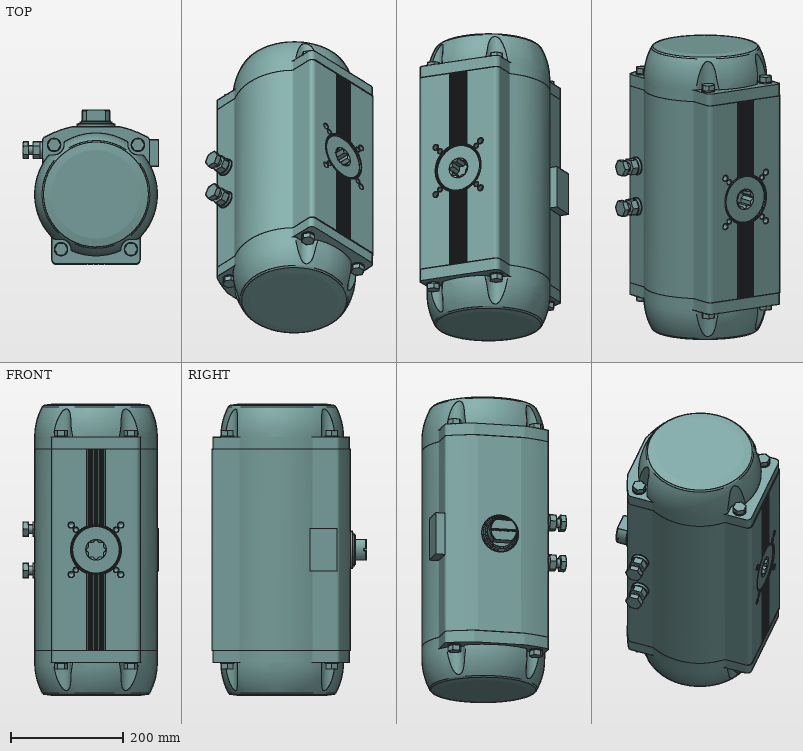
import cadquery as cq
import math

TOTAL_LENGTH = 519.5
HOUSING_LENGTH = 359.5
CAP_PLATE_THICKNESS = 21.5
BARREL_RADIUS = 109.5

TOP_BLOCK_HALF_WIDTH = 95.0
TOP_ARC_RADIUS = 192.0
TOP_ARC_CENTRE_Y = -66.5
TOP_FLAT_Y = 121.5
FOOT_HALF_WIDTH = 79.0
FRONT_Y = -125.0
CAP_STEP = 1.5
TOP_CORNER_FILLET = 6.0
FOOT_CORNER_FILLET = 9.0
HOLLOW_CORNER_FILLET = 4.5

GROOVE_COUNT = 9
GROOVE_PITCH = 3.9
GROOVE_WIDTH = 2.0
GROOVE_DEPTH = 1.5

RECESS_DIAMETER = 91.0
RECESS_DEPTH = 5.0
RECESS_CHAMFER = 1.0
MOUNT_LARGE_OFFSET = 44.0
MOUNT_LARGE_DIAMETERS = (10.0, 11.5)
MOUNT_SMALL_OFFSET = 36.0
MOUNT_SMALL_DIAMETERS = (8.5, 10.0)
MOUNT_HOLE_DEPTH = 13.0
DRILL_POINT_ANGLE = 118.0

PORT_BLOCK_FACE_X = 111.5
PORT_BLOCK_LOW_Y = 50.0
PORT_BLOCK_HIGH_Y = 97.5
PORT_BLOCK_HEIGHT = 76.0

DOME_FLAT_RADIUS = 79.0
DOME_CROWN_RADIUS = 93.5
DOME_CROWN_DROP = 2.0
DOME_SHOULDER_RADIUS = 96.0
DOME_SHOULDER_DROP = 4.5
SCALLOP_RADIUS = 17.5
SCALLOP_EDGE_FILLET = 5.0

HEX_BEVEL_ANGLE = 15.0

CAP_BOLT_PLACES = [(-75.0, 88.5), (75.0, 88.5), (-62.5, -97.5), (62.5, -97.5)]
CAP_BOLT_DIAMETER = 24.0
CAP_BOLT_TOP_DIAMETER = 22.5
CAP_BOLT_FLANGE_HEIGHT = 2.0
CAP_BOLT_HEIGHT = 11.5

SHAFT_DIAMETER = 50.0
SHAFT_END_Y = 150.5
SHAFT_FLATS_WIDTH = 37.0
SHAFT_END_CHAMFER = 1.5
SHAFT_SLOT_WIDTH = 3.0
SHAFT_SLOT_DEPTH = 4.5
COLLAR_STEPS = [(67.0, 3.5), (62.5, 1.5), (57.0, 2.0), (52.0, 2.0)]
DISC_DIAMETER = 86.0
DISC_CHAMFER = 1.5
DISC_SINK = 1.5
SOCKET_SQUARE = 26.0
SOCKET_DEPTH = 31.0
SOCKET_MOUTH_DIAMETER = 37.0
SOCKET_MOUTH_DEPTH = 3.0

STOP_Y = 79.0
STOP_Z = 37.0
STOP_HEX_DIAMETER = 30.0
STOP_HEX_END_DIAMETER = 24.0
STOP_STEM_DIAMETER = 16.0
STOP_END_X = -130.5
STOP_HEAD_LENGTH = 10.0
STOP_STEM_INNER_X = -72.5
NUT_OUTER_X = -112.5
NUT_HEX_LENGTH = 13.0
NUT_SEAT_DIAMETER = 32.0
NUT_SEAT_DEPTH = 1.5

HOUSING_HALF = HOUSING_LENGTH / 2
PLATE_END_Z = HOUSING_HALF + CAP_PLATE_THICKNESS
END_Z = TOTAL_LENGTH / 2
DISC_FACE_Y = FRONT_Y + DISC_SINK
RECESS_FLOOR_Y = FRONT_Y + RECESS_DEPTH
NUT_SEAT_X = -TOP_BLOCK_HALF_WIDTH + NUT_SEAT_DEPTH


def cylinder_y(diameter, start_y, length):
    """Cylinder about the shaft axis, growing toward +Y."""
    plane = cq.Plane(origin=(0, start_y, 0), xDir=(1, 0, 0), normal=(0, 1, 0))
    return cq.Workplane(plane).circle(diameter / 2).extrude(length)


def countersink(mouth_diameter, inner_diameter, start_y, depth):
    """Cone about the shaft axis, narrowing toward +Y."""
    outline = [(0, 0), (mouth_diameter / 2, 0), (inner_diameter / 2, depth), (0, depth)]
    cone = cq.Workplane("XY").polyline(outline).close().revolve(360, (0, 0, 0), (0, 1, 0))
    return cone.translate((0, start_y, 0))


def cylinder_x(diameter, start_x, end_x, z):
    """Cylinder about a stop screw axis."""
    return cq.Workplane("YZ", origin=(start_x, STOP_Y, z)).circle(diameter / 2).extrude(end_x - start_x)


def hexagon(plane, corner_diameter, end_diameter, height):
    """Hexagonal prism with its far end bevelled down to end_diameter."""
    prism = cq.Workplane(plane).polygon(6, corner_diameter).extrude(height)
    bevel_width = (corner_diameter - end_diameter) / 2
    bevel_height = bevel_width * math.tan(math.radians(HEX_BEVEL_ANGLE))
    turned = (
        cq.Workplane(plane)
        .circle(corner_diameter / 2)
        .extrude(height)
        .faces(cq.NearestToPointSelector((plane.origin + plane.zDir * height).toTuple()))
        .chamfer(bevel_height, bevel_width)
    )
    return prism.intersect(turned)


def profile_body(front_y, flat_y, start_z, length):
    """Extruded cross-section: round barrel, crowned top block and square foot."""
    base = cq.Workplane("XY", origin=(0, 0, start_z))
    crown_half_flat = math.sqrt(TOP_ARC_RADIUS**2 - (flat_y - TOP_ARC_CENTRE_Y) ** 2)
    crown_edge_y = TOP_ARC_CENTRE_Y + math.sqrt(TOP_ARC_RADIUS**2 - TOP_BLOCK_HALF_WIDTH**2)
    middle_x = (crown_half_flat + TOP_BLOCK_HALF_WIDTH) / 2
    middle_y = TOP_ARC_CENTRE_Y + math.sqrt(TOP_ARC_RADIUS**2 - middle_x**2)
    top_block = (
        base.moveTo(-TOP_BLOCK_HALF_WIDTH, 0)
        .lineTo(TOP_BLOCK_HALF_WIDTH, 0)
        .lineTo(TOP_BLOCK_HALF_WIDTH, crown_edge_y)
        .threePointArc((middle_x, middle_y), (crown_half_flat, flat_y))
        .lineTo(-crown_half_flat, flat_y)
        .threePointArc((-middle_x, middle_y), (-TOP_BLOCK_HALF_WIDTH, crown_edge_y))
        .close()
        .extrude(length)
    )
    foot = base.center(0, front_y / 2).rect(2 * FOOT_HALF_WIDTH, -front_y).extrude(length)
    body = base.circle(BARREL_RADIUS).extrude(length).union(top_block).union(foot)

    block_root_y = math.sqrt(BARREL_RADIUS**2 - TOP_BLOCK_HALF_WIDTH**2)
    foot_root_y = -math.sqrt(BARREL_RADIUS**2 - FOOT_HALF_WIDTH**2)
    corners = [
        (TOP_BLOCK_HALF_WIDTH, crown_edge_y, TOP_CORNER_FILLET),
        (TOP_BLOCK_HALF_WIDTH, block_root_y, HOLLOW_CORNER_FILLET),
        (FOOT_HALF_WIDTH, foot_root_y, HOLLOW_CORNER_FILLET),
        (FOOT_HALF_WIDTH, front_y, FOOT_CORNER_FILLET),
    ]
    for x, y, radius in corners:
        for side in (-1, 1):
            corner = cq.NearestToPointSelector((side * x, y, start_z + length / 2))
            body = body.edges("|Z").edges(corner).fillet(radius)
    return body


def drilled_hole(x, z, diameters):
    """Cutter for a blind hole in the front face with a drill point and a chamfered mouth."""
    radius = diameters[0] / 2
    mouth_radius = diameters[1] / 2
    mouth_depth = mouth_radius - radius
    point_depth = radius / math.tan(math.radians(DRILL_POINT_ANGLE / 2))
    outline = [
        (0, 0),
        (mouth_radius, 0),
        (radius, mouth_depth),
        (radius, MOUNT_HOLE_DEPTH),
        (0, MOUNT_HOLE_DEPTH + point_depth),
    ]
    cutter = cq.Workplane("XY").polyline(outline).close().revolve(360, (0, 0, 0), (0, 1, 0))
    return cutter.translate((x, FRONT_Y, z))


def make_housing():
    housing = profile_body(FRONT_Y, TOP_FLAT_Y, -HOUSING_HALF, HOUSING_LENGTH)

    port_block_depth = PORT_BLOCK_HIGH_Y - PORT_BLOCK_LOW_Y
    port_block = cq.Workplane("XY").box(
        PORT_BLOCK_FACE_X, port_block_depth, PORT_BLOCK_HEIGHT, centered=(False, False, True)
    )
    housing = housing.union(port_block.translate((0, PORT_BLOCK_LOW_Y, 0)))

    for index in range(GROOVE_COUNT):
        x = (index - (GROOVE_COUNT - 1) / 2) * GROOVE_PITCH
        groove = cq.Workplane("XY").box(GROOVE_WIDTH, 2 * GROOVE_DEPTH, HOUSING_LENGTH)
        housing = housing.cut(groove.translate((x, FRONT_Y, 0)))

    recess_diameter = RECESS_DIAMETER - 2 * RECESS_CHAMFER
    recess = cylinder_y(recess_diameter, FRONT_Y, RECESS_DEPTH)
    mouth = countersink(RECESS_DIAMETER, recess_diameter, FRONT_Y, RECESS_CHAMFER)
    housing = housing.cut(recess).cut(mouth)
    housing = housing.cut(cylinder_y(SHAFT_DIAMETER, FRONT_Y, TOP_FLAT_Y - FRONT_Y))
    for side_x in (-1, 1):
        for side_z in (-1, 1):
            for offset, diameters in (
                (MOUNT_LARGE_OFFSET, MOUNT_LARGE_DIAMETERS),
                (MOUNT_SMALL_OFFSET, MOUNT_SMALL_DIAMETERS),
            ):
                housing = housing.cut(drilled_hole(side_x * offset, side_z * offset, diameters))

    for z in (-STOP_Z, STOP_Z):
        housing = housing.cut(cylinder_x(NUT_SEAT_DIAMETER, -TOP_BLOCK_HALF_WIDTH, NUT_SEAT_X, z))
        housing = housing.cut(cylinder_x(STOP_STEM_DIAMETER, NUT_SEAT_X, STOP_STEM_INNER_X, z))
    return housing


def make_dome():
    """Domed end with a scallop beside each bolt."""
    height = END_Z - PLATE_END_Z
    shoulder_height = height - DOME_SHOULDER_DROP
    inset = BARREL_RADIUS - DOME_SHOULDER_RADIUS
    flank_radius = (shoulder_height**2 + inset**2) / (2 * inset)
    middle_height = shoulder_height / 2
    middle_radius = BARREL_RADIUS - flank_radius + math.sqrt(flank_radius**2 - middle_height**2)
    turned = (
        cq.Workplane("XZ", origin=(0, 0, PLATE_END_Z))
        .lineTo(BARREL_RADIUS, 0)
        .threePointArc((middle_radius, middle_height), (DOME_SHOULDER_RADIUS, shoulder_height))
        .lineTo(DOME_CROWN_RADIUS, height - DOME_CROWN_DROP)
        .lineTo(DOME_FLAT_RADIUS, height)
        .lineTo(0, height)
        .close()
        .revolve(360, (0, 0, 0), (0, 1, 0))
    )

    column = cq.Workplane("XY", origin=(0, 0, PLATE_END_Z)).circle(BARREL_RADIUS).extrude(height)
    for x, y in CAP_BOLT_PLACES:
        side_x = math.copysign(1, x)
        side_y = math.copysign(1, y)
        inner_x = x - side_x * SCALLOP_RADIUS
        inner_y = y - side_y * SCALLOP_RADIUS
        pocket = (
            cq.Workplane("XY", origin=(inner_x, inner_y, PLATE_END_Z))
            .box(BARREL_RADIUS, BARREL_RADIUS, height, centered=(True, True, False))
            .translate((side_x * BARREL_RADIUS / 2, side_y * BARREL_RADIUS / 2, 0))
            .edges("|Z")
            .edges(cq.NearestToPointSelector((inner_x, inner_y, PLATE_END_Z + height / 2)))
            .fillet(SCALLOP_RADIUS)
        )
        column = column.cut(pocket)
        rims = [
            (inner_x, side_y * math.sqrt(BARREL_RADIUS**2 - inner_x**2)),
            (side_x * math.sqrt(BARREL_RADIUS**2 - inner_y**2), inner_y),
        ]
        for rim_x, rim_y in rims:
            rim = cq.NearestToPointSelector((rim_x, rim_y, PLATE_END_Z + height / 2))
            column = column.edges("|Z").edges(rim).fillet(SCALLOP_EDGE_FILLET)
    return turned.intersect(column)


def make_cap_bolt(x, y):
    flange = (
        cq.Workplane("XY", origin=(x, y, PLATE_END_Z))
        .circle(CAP_BOLT_DIAMETER / 2)
        .extrude(CAP_BOLT_FLANGE_HEIGHT)
    )
    head_plane = cq.Plane(origin=(x, y, PLATE_END_Z + CAP_BOLT_FLANGE_HEIGHT))
    head_height = CAP_BOLT_HEIGHT - CAP_BOLT_FLANGE_HEIGHT
    return flange.union(hexagon(head_plane, CAP_BOLT_DIAMETER, CAP_BOLT_TOP_DIAMETER, head_height))


def make_cap():
    """Upper end cap: plate, dome and bolt heads."""
    cap = profile_body(FRONT_Y + CAP_STEP, TOP_FLAT_Y - CAP_STEP, HOUSING_HALF, CAP_PLATE_THICKNESS)
    cap = cap.union(make_dome())
    for x, y in CAP_BOLT_PLACES:
        cap = cap.union(make_cap_bolt(x, y))
    return cap


def make_shaft():
    shaft = cylinder_y(DISC_DIAMETER, DISC_FACE_Y, RECESS_FLOOR_Y - DISC_FACE_Y)
    shaft = shaft.faces("<Y").chamfer(DISC_CHAMFER)
    shaft = shaft.union(cylinder_y(SHAFT_DIAMETER, RECESS_FLOOR_Y, TOP_FLAT_Y - RECESS_FLOOR_Y))
    collar_y = TOP_FLAT_Y
    for diameter, thickness in COLLAR_STEPS:
        shaft = shaft.union(cylinder_y(diameter, collar_y, thickness))
        collar_y += thickness

    tip_length = SHAFT_END_Y - collar_y
    tip = cylinder_y(SHAFT_DIAMETER, collar_y, tip_length).faces(">Y").chamfer(SHAFT_END_CHAMFER)
    flats = cq.Workplane("XY").box(SHAFT_DIAMETER, tip_length, SHAFT_FLATS_WIDTH)
    tip = tip.intersect(flats.translate((0, collar_y + tip_length / 2, 0)))
    slot = cq.Workplane("XY").box(SHAFT_DIAMETER, 2 * SHAFT_SLOT_DEPTH, SHAFT_SLOT_WIDTH)
    shaft = shaft.union(tip.cut(slot.translate((0, SHAFT_END_Y, 0))))

    for angle in (0, 45):
        square = cq.Workplane("XY").box(SOCKET_SQUARE, 2 * SOCKET_DEPTH, SOCKET_SQUARE)
        square = square.rotate((0, 0, 0), (0, 1, 0), angle)
        shaft = shaft.cut(square.translate((0, DISC_FACE_Y, 0)))
    mouth = countersink(SOCKET_MOUTH_DIAMETER, SOCKET_SQUARE, DISC_FACE_Y, SOCKET_MOUTH_DEPTH)
    return shaft.cut(mouth)


def outward_plane(x, z):
    """Plane on a stop screw axis, facing -X, with its own X along Y."""
    return cq.Plane(origin=(x, STOP_Y, z), xDir=(0, 1, 0), normal=(-1, 0, 0))


def make_stop_screw(z):
    head_inner_x = STOP_END_X + STOP_HEAD_LENGTH
    head_plane = outward_plane(head_inner_x, z)
    head = hexagon(head_plane, STOP_HEX_DIAMETER, STOP_HEX_END_DIAMETER, STOP_HEAD_LENGTH)
    return head.union(cylinder_x(STOP_STEM_DIAMETER, head_inner_x, STOP_STEM_INNER_X, z))


def make_lock_nut(z):
    hex_inner_x = NUT_OUTER_X + NUT_HEX_LENGTH
    hex_plane = outward_plane(hex_inner_x, z)
    nut = hexagon(hex_plane, STOP_HEX_DIAMETER, STOP_HEX_END_DIAMETER, NUT_HEX_LENGTH)
    nut = nut.union(cylinder_x(STOP_HEX_DIAMETER, hex_inner_x, NUT_SEAT_X, z))
    return nut.cut(cylinder_x(STOP_STEM_DIAMETER, NUT_OUTER_X, NUT_SEAT_X, z))


housing = make_housing()
shaft = make_shaft()
upper_cap = make_cap()
lower_cap = upper_cap.mirror("XY")
stop_screws = [make_stop_screw(z) for z in (-STOP_Z, STOP_Z)]
lock_nuts = [make_lock_nut(z) for z in (-STOP_Z, STOP_Z)]

result = cq.Compound.makeCompound(
    [
        housing.val(),
        shaft.val(),
        upper_cap.val(),
        lower_cap.val(),
        *[screw.val() for screw in stop_screws],
        *[nut.val() for nut in lock_nuts],
    ]
)